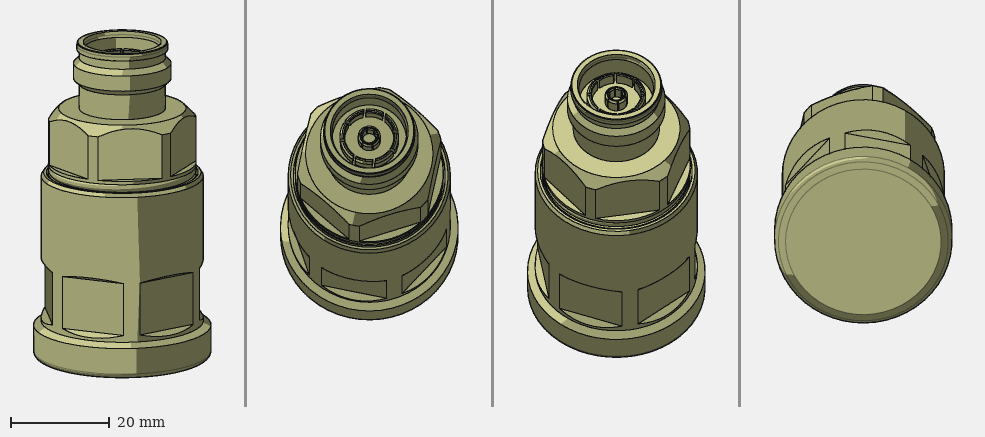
import cadquery as cq
import math

TOTAL_HEIGHT = 66.2
SIX_SIDES = 6
END_SLOPE = math.tan(math.radians(30))

FOOT_RADIUS = 18.0
FOOT_TOP = 6.67
FOOT_FACE_RADIUS = 15.75
FOOT_FILLET = 1.0
FOOT_CONE_ANGLE = 12
BARREL_RADIUS = 16.45
SLEEVE_TOP = 38.75
SLEEVE_CHAMFER = 0.5
SLEEVE_CHAMFER_HEIGHT = 0.75
RECESS_RADIUS = 15.4
RECESS_DEPTH = 1.5
FLAT_APOTHEM = 15.0
FLAT_BOTTOM = 9.0
FLAT_TOP = 19.9

COLLAR_RADIUS = 15.0
COLLAR_BOTTOM = 40.3
COLLAR_TOP = 41.0
HEX_APOTHEM = 13.5
HEX_TOP = 52.25
HEX_CHAMFER = 2.1
NECK_RADIUS = 8.75
BULGE_RADIUS = 9.9
BULGE_CONE = 1.1
BULGE_BOTTOM = 57.45
BULGE_TOP = 62.85
RIM_RADIUS = 9.25
RIM_BOTTOM = TOTAL_HEIGHT - 1.5
RIM_TAPER = 0.1
RIM_TAPER_HEIGHT = 0.65
RIM_CHAMFER = 0.15
SOCKET_RADIUS = 7.55
SOCKET_FLOOR = TOTAL_HEIGHT - 5.65
MOUTH_RADIUS = 7.9
MOUTH_CONE_DEPTH = 0.7
THROAT_RADIUS = 7.75
THROAT_CONE_DEPTH = 1.2

CONTACT_TOP = TOTAL_HEIGHT - 3.0
RING_OUTER_RADIUS = 5.95
RING_INNER_RADIUS = 5.0
RING_OUTER_CHAMFER = 0.45
RING_INNER_CHAMFER = 0.2
RING_SLOT_OFFSET = 2.0
RING_SLOT_WIDTH = 0.55
PIN_OUTER_RADIUS = 2.25
PIN_INNER_RADIUS = 1.4
PIN_OUTER_CHAMFER = 0.4
PIN_INNER_CHAMFER = 0.25
PIN_SLOT_WIDTH = 0.25

O_RING_SECTION_RADIUS = 0.9
O_RING_CENTRE_RADIUS = COLLAR_RADIUS - O_RING_SECTION_RADIUS
O_RING_HEIGHT = COLLAR_BOTTOM - O_RING_SECTION_RADIUS


def revolve(outline):
    """Turn an (r, z) outline about Z into a solid."""
    return outline.close().revolve(360, (0, 0, 0), (0, 1, 0))


def make_sleeve():
    """Sleeve with a rounded, slightly coned foot and a recess for the connector."""
    cone_angle = math.radians(FOOT_CONE_ANGLE)
    cone_outer_radius = FOOT_RADIUS - FOOT_FILLET * (1 - math.sin(cone_angle))
    cone_top = (cone_outer_radius - FOOT_FACE_RADIUS) * math.tan(cone_angle)
    fillet_top = cone_top + FOOT_FILLET * math.cos(cone_angle)
    barrel = revolve(
        cq.Workplane("XZ")
        .lineTo(FOOT_FACE_RADIUS, 0)
        .lineTo(cone_outer_radius, cone_top)
        .tangentArcPoint((FOOT_RADIUS, fillet_top), relative=False)
        .lineTo(FOOT_RADIUS, FOOT_TOP)
        .lineTo(BARREL_RADIUS, FOOT_TOP + (FOOT_RADIUS - BARREL_RADIUS) * END_SLOPE)
        .lineTo(BARREL_RADIUS, SLEEVE_TOP - SLEEVE_CHAMFER_HEIGHT)
        .lineTo(BARREL_RADIUS - SLEEVE_CHAMFER, SLEEVE_TOP)
        .lineTo(RECESS_RADIUS, SLEEVE_TOP)
        .lineTo(RECESS_RADIUS, SLEEVE_TOP - RECESS_DEPTH)
        .lineTo(0, SLEEVE_TOP - RECESS_DEPTH)
    )
    return cut_sleeve_flats(barrel)


def cut_sleeve_flats(barrel):
    """Cut six flats whose ends slope outward to the barrel surface."""
    cut_depth = FOOT_RADIUS - FLAT_APOTHEM
    end_rise = cut_depth * END_SLOPE
    cutter = (
        cq.Workplane("XZ")
        .moveTo(FLAT_APOTHEM, FLAT_BOTTOM)
        .lineTo(FLAT_APOTHEM + cut_depth, FLAT_BOTTOM - end_rise)
        .lineTo(FLAT_APOTHEM + cut_depth, FLAT_TOP + end_rise)
        .lineTo(FLAT_APOTHEM, FLAT_TOP)
        .close()
        .extrude(BARREL_RADIUS / 2, both=True)
    )
    for side in range(SIX_SIDES):
        angle = (side + 0.5) * 360 / SIX_SIDES
        barrel = barrel.cut(cutter.rotate((0, 0, 0), (0, 0, 1), angle))
    return barrel


def make_o_ring():
    """Round-section ring that fills the groove under the collar."""
    return (
        cq.Workplane("XZ")
        .center(O_RING_CENTRE_RADIUS, O_RING_HEIGHT)
        .circle(O_RING_SECTION_RADIUS)
        .revolve(360, (-O_RING_CENTRE_RADIUS, 0, 0), (-O_RING_CENTRE_RADIUS, 1, 0))
    )


def make_connector_shell():
    """Turned outside of the connector, from the sleeve recess to the rim, with its socket."""
    return revolve(
        cq.Workplane("YZ")
        .moveTo(0, SLEEVE_TOP - RECESS_DEPTH)
        .lineTo(COLLAR_RADIUS, SLEEVE_TOP - RECESS_DEPTH)
        .lineTo(COLLAR_RADIUS, O_RING_HEIGHT - O_RING_SECTION_RADIUS)
        .lineTo(O_RING_CENTRE_RADIUS, O_RING_HEIGHT - O_RING_SECTION_RADIUS)
        .lineTo(O_RING_CENTRE_RADIUS, COLLAR_BOTTOM)
        .lineTo(COLLAR_RADIUS, COLLAR_BOTTOM)
        .lineTo(COLLAR_RADIUS, HEX_TOP - HEX_CHAMFER)
        .lineTo(COLLAR_RADIUS - HEX_CHAMFER, HEX_TOP)
        .lineTo(NECK_RADIUS, HEX_TOP)
        .lineTo(NECK_RADIUS, BULGE_BOTTOM)
        .lineTo(BULGE_RADIUS, BULGE_BOTTOM + BULGE_CONE)
        .lineTo(BULGE_RADIUS, BULGE_TOP - BULGE_CONE)
        .lineTo(NECK_RADIUS, BULGE_TOP)
        .lineTo(NECK_RADIUS, RIM_BOTTOM)
        .lineTo(RIM_RADIUS, RIM_BOTTOM)
        .lineTo(RIM_RADIUS, TOTAL_HEIGHT - RIM_TAPER_HEIGHT)
        .lineTo(RIM_RADIUS - RIM_TAPER, TOTAL_HEIGHT - RIM_CHAMFER)
        .lineTo(RIM_RADIUS - RIM_TAPER - RIM_CHAMFER, TOTAL_HEIGHT)
        .lineTo(MOUTH_RADIUS, TOTAL_HEIGHT)
        .lineTo(THROAT_RADIUS, TOTAL_HEIGHT - MOUTH_CONE_DEPTH)
        .lineTo(SOCKET_RADIUS, TOTAL_HEIGHT - THROAT_CONE_DEPTH)
        .lineTo(SOCKET_RADIUS, SOCKET_FLOOR)
        .lineTo(0, SOCKET_FLOOR)
    )


def cut_hexagon(shell):
    """Cut the six hexagon flats above the collar; two of them face along X."""
    cutter = cq.Workplane("XY").box(
        COLLAR_RADIUS, 2 * COLLAR_RADIUS, HEX_TOP - COLLAR_TOP, centered=(False, True, False)
    ).translate((HEX_APOTHEM, 0, COLLAR_TOP))
    for side in range(SIX_SIDES):
        shell = shell.cut(cutter.rotate((0, 0, 0), (0, 0, 1), side * 360 / SIX_SIDES))
    return shell


def make_tube(outer_radius, inner_radius, outer_chamfer, inner_chamfer):
    """Contact tube on the socket floor with both top edges chamfered."""
    return revolve(
        cq.Workplane("YZ")
        .moveTo(inner_radius, SOCKET_FLOOR)
        .lineTo(outer_radius, SOCKET_FLOOR)
        .lineTo(outer_radius, CONTACT_TOP - outer_chamfer)
        .lineTo(outer_radius - outer_chamfer, CONTACT_TOP)
        .lineTo(inner_radius + inner_chamfer, CONTACT_TOP)
        .lineTo(inner_radius, CONTACT_TOP - inner_chamfer)
    )


def make_slot(width):
    """Slot along X that reaches past the contact tubes on both sides."""
    return cq.Workplane("XY", origin=(0, 0, SOCKET_FLOOR)).box(
        2 * SOCKET_RADIUS, width, CONTACT_TOP - SOCKET_FLOOR, centered=(True, True, False)
    )


def make_contact_ring():
    """Outer contact split into eight fingers by four straight slots off the axis."""
    ring = make_tube(RING_OUTER_RADIUS, RING_INNER_RADIUS, RING_OUTER_CHAMFER, RING_INNER_CHAMFER)
    slot = make_slot(RING_SLOT_WIDTH).translate((0, RING_SLOT_OFFSET, 0))
    for angle in (0, 90, 180, 270):
        ring = ring.cut(slot.rotate((0, 0, 0), (0, 0, 1), angle))
    return ring


def make_contact_pin():
    """Hollow pin split into six fingers by three slots through the axis."""
    pin = make_tube(PIN_OUTER_RADIUS, PIN_INNER_RADIUS, PIN_OUTER_CHAMFER, PIN_INNER_CHAMFER)
    slot = make_slot(PIN_SLOT_WIDTH)
    for angle in (0, 60, 120):
        pin = pin.cut(slot.rotate((0, 0, 0), (0, 0, 1), angle))
    return pin


def make_connector(o_ring):
    """Connector in one piece, with the groove that seats the O-ring."""
    shell = cut_hexagon(make_connector_shell())
    return shell.union(make_contact_ring()).union(make_contact_pin()).cut(o_ring)


sleeve = make_sleeve()
o_ring = make_o_ring()
connector = make_connector(o_ring)

result = cq.Compound.makeCompound([sleeve.val(), o_ring.val(), connector.val()])